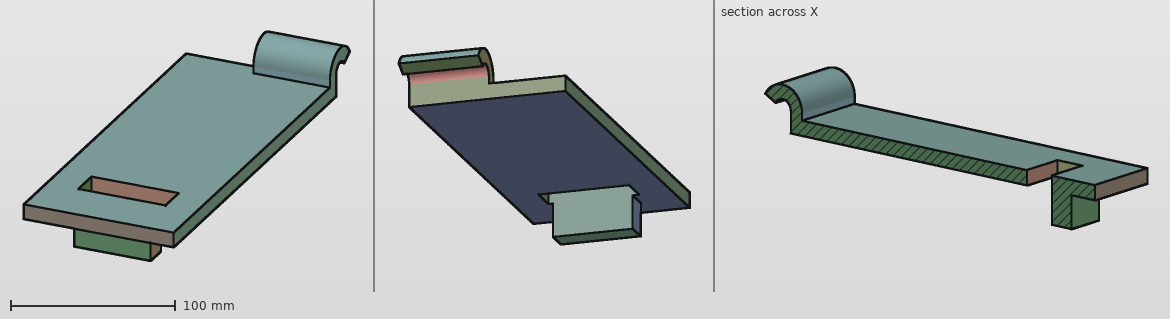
import cadquery as cq
import math

plate_width = 100.0
plate_thickness = 10.0
total_length = 260.2
hook_overhang = 20.0
plate_length = total_length - hook_overhang

hook_width = 51.0
hook_outer_radius = 15.5
hook_inner_radius = 6.2
stem_height = 4.5

block_width = 51.0
block_length = 15.5
block_height = 21.3
block_left = 25.2
block_front = 18.5

window_width = 58.0
window_length = 19.5
window_left = 21.0
window_front = block_front + block_length


def make_box(left, front, bottom, width, length, height):
    """Box placed by its left front bottom corner."""
    return cq.Workplane("XY").box(width, length, height, centered=False).translate((left, front, bottom))


def make_hook():
    """Short vertical stem curling rearward around an axis along X."""
    axis_y = plate_length + hook_inner_radius
    axis_z = plate_thickness + stem_height
    tip_angle = math.acos((total_length - axis_y) / hook_outer_radius)
    middle_angle = (tip_angle + math.pi) / 2

    def on_arc(radius, angle):
        return (axis_y + radius * math.cos(angle), axis_z + radius * math.sin(angle))

    return (
        cq.Workplane("YZ", origin=(plate_width - hook_width, 0, 0))
        .moveTo(axis_y - hook_outer_radius, plate_thickness)
        .lineTo(*on_arc(hook_outer_radius, math.pi))
        .threePointArc(on_arc(hook_outer_radius, middle_angle), on_arc(hook_outer_radius, tip_angle))
        .lineTo(*on_arc(hook_inner_radius, tip_angle))
        .threePointArc(on_arc(hook_inner_radius, middle_angle), on_arc(hook_inner_radius, math.pi))
        .lineTo(plate_length, plate_thickness)
        .close()
        .extrude(hook_width)
    )


plate = make_box(0, 0, 0, plate_width, plate_length, plate_thickness)
window = make_box(window_left, window_front, 0, window_width, window_length, plate_thickness)
block = make_box(block_left, block_front, -block_height, block_width, block_length, block_height)

result = plate.cut(window).union(block).union(make_hook())